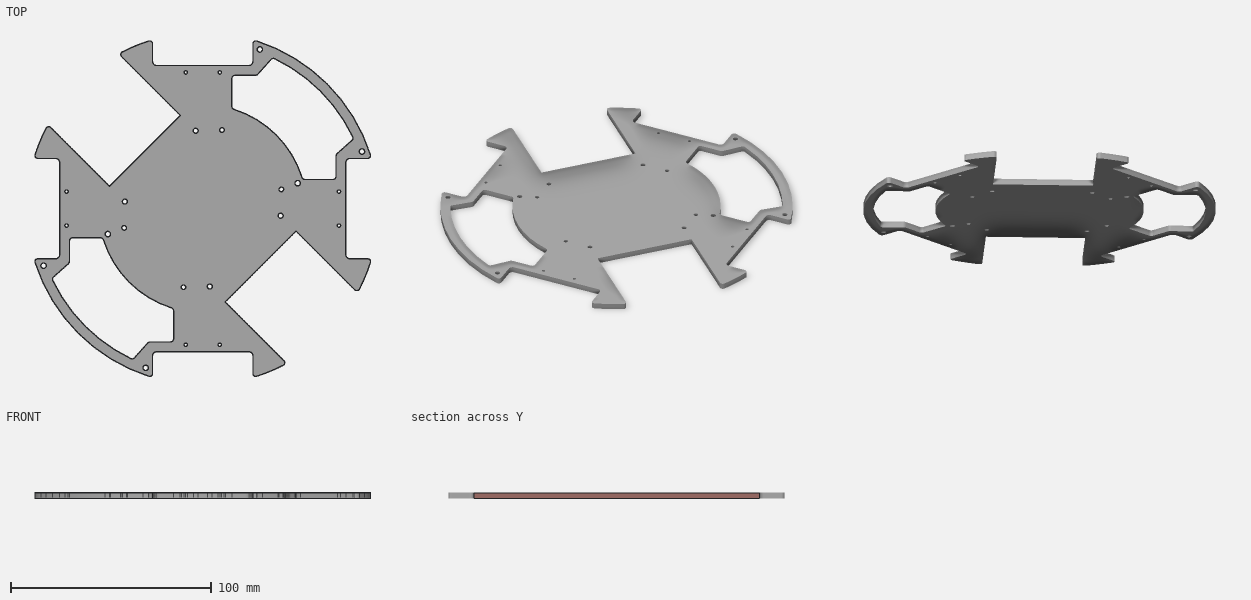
import cadquery as cq
import math

thickness = 3.0
plate_radius = 88.0
tip_radius = 1.5

notch_half_width = 25.0
notch_floor = 71.5
notch_corner_radius = 2.0

slot_width = 50.0
slot_floor = 40.9

rim_width = 5.0
window_outer_radius = plate_radius - rim_width
window_inner_radius = 52.0
window_near = 14.6
window_far = notch_floor - rim_width
window_step = 27.0
window_splay_angle = 48.2
window_corner_radius = 1.5
window_step_radius = 2.0

edge_hole_diameter = 1.6
edge_hole_offset = 8.5
edge_hole_distance = 68.0
tie_hole_diameter = 2.6
tie_hole_near = 28.5
tie_hole_far = 79.5
slot_hole_diameter = 2.4
slot_hole_spacing = slot_width
slot_hole_distance = 30.0
inner_hole_diameter = 2.2
inner_hole_near = 9.6
inner_hole_far = 39.25
pivot_hole_diameter = 2.6
pivot_hole_x = 47.4
pivot_hole_y = 12.7

diagonal = 45
half_turns = (0, 180)
quarter_turns = (0, 90, 180, 270)

upright_edges = cq.StringSyntaxSelector("|Z")
selection_reach = 0.5


def turned(solid, angle):
    """Turn a solid about the plate axis."""
    return solid.rotate((0, 0, 0), (0, 0, 1), angle)


def disc(radius):
    return cq.Workplane("XY").circle(radius).extrude(thickness)


def holes(diameter, points):
    return cq.Workplane("XY").pushPoints(points).circle(diameter / 2).extrude(thickness)


def cutout(half_width, floor):
    """Block centred on Y that reaches from the floor out past the rim, on the +Y side."""
    return (
        cq.Workplane("XY")
        .box(2 * half_width, plate_radius, thickness, centered=(True, False, False))
        .translate((0, floor, 0))
    )


def edges_near(x, y, reach=selection_reach):
    """Selector of the edges whose middles lie in a square block around a place."""
    return cq.selectors.BoxSelector((x - reach, y - reach, 0), (x + reach, y + reach, thickness))


def plate_outline():
    """Disc with four rim notches and two diagonal slots; only the slot floors keep sharp corners."""
    plate = disc(plate_radius)
    notch = cutout(notch_half_width, notch_floor).edges("|Z and <Y").fillet(notch_corner_radius)
    for angle in quarter_turns:
        plate = plate.cut(turned(notch, angle))
    slot = cutout(slot_width / 2, slot_floor)
    for angle in half_turns:
        plate = plate.cut(turned(slot, angle + diagonal))
    inner_edges = edges_near(0, 0, notch_floor + notch_corner_radius + selection_reach)
    return plate.edges(upright_edges - inner_edges).fillet(tip_radius)


def window():
    """Window between two arcs, stepped and splayed outward beside the notches."""
    splay = math.radians(window_splay_angle)
    splay_x = window_step + (plate_radius - window_far) * math.cos(splay)
    splay_y = window_far + (plate_radius - window_far) * math.sin(splay)
    boundary = [
        (window_near, window_near),
        (window_near, window_far),
        (window_step, window_far),
        (splay_x, splay_y),
        (plate_radius, plate_radius),
        (splay_y, splay_x),
        (window_far, window_step),
        (window_far, window_near),
    ]
    shape = cq.Workplane("XY").polyline(boundary).close().extrude(thickness)
    shape = shape.intersect(disc(window_outer_radius)).cut(disc(window_inner_radius))
    step_places = swapped_pair(window_step, window_far)
    step_edges = edges_near(*step_places[0]) + edges_near(*step_places[1])
    shape = shape.edges(upright_edges - step_edges).fillet(window_corner_radius)
    return shape.edges("|Z").edges(step_edges).fillet(window_step_radius)


def swapped_pair(near, far):
    """Two places that mirror each other about the (+X, +Y) diagonal."""
    return [(near, far), (far, near)]


def side_pair(offset, distance):
    """Two places on either side of the Y axis."""
    return [(-offset, distance), (offset, distance)]


edge_holes = holes(edge_hole_diameter, side_pair(edge_hole_offset, edge_hole_distance))
tie_holes = holes(tie_hole_diameter, swapped_pair(tie_hole_near, tie_hole_far))
slot_holes = holes(slot_hole_diameter, side_pair(slot_hole_spacing / 2, slot_hole_distance))
inner_holes = holes(inner_hole_diameter, swapped_pair(inner_hole_near, inner_hole_far))
pivot_hole = holes(pivot_hole_diameter, [(pivot_hole_x, pivot_hole_y)])

result = plate_outline()
for angle in quarter_turns:
    result = result.cut(turned(edge_holes, angle))
for angle in half_turns:
    result = result.cut(turned(slot_holes, angle + diagonal))
    for opening in (window(), tie_holes, inner_holes, pivot_hole):
        result = result.cut(turned(opening, angle))